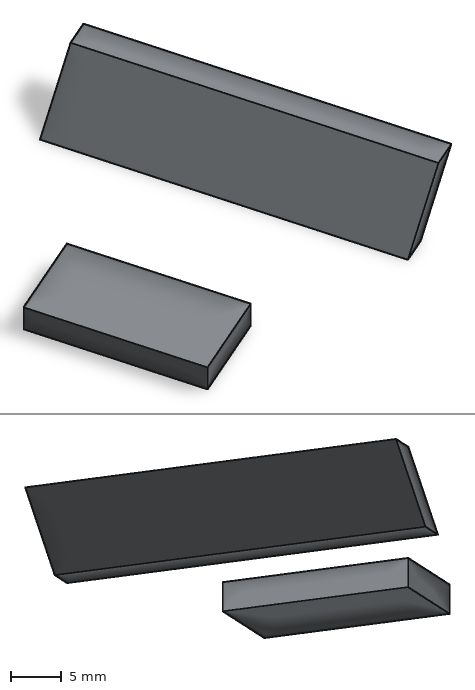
import cadquery as cq
import math

block_length = 20.0
block_depth = 10.0
thickness = 3.0

blade_length = 40.0
slant_length = 10.0
lean_angle = math.radians(45)
gap = 15.0

blade_rise = slant_length * math.sin(lean_angle)
blade_run = slant_length * math.cos(lean_angle)
blade_front = block_depth + gap


def make_block():
    """Rectangular block on the ground, its front face at Y = 0."""
    return cq.Workplane("XY").box(
        block_length, block_depth, thickness, centered=(True, False, False)
    )


def make_blade():
    """Parallelogram bar on the ground, leaning back toward +Y."""
    profile = [
        (blade_front, 0),
        (blade_front + thickness, 0),
        (blade_front + thickness + blade_run, blade_rise),
        (blade_front + blade_run, blade_rise),
    ]
    return cq.Workplane("YZ").polyline(profile).close().extrude(blade_length / 2, both=True)


block = make_block()
blade = make_blade()

result = cq.Compound.makeCompound([block.val(), blade.val()])